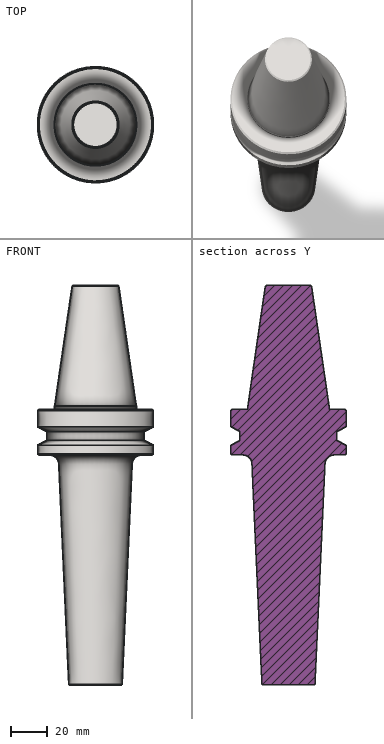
import cadquery as cq

total_length = 217.5
gauge_radius = 22.2
gauge_z = 152.0
shank_taper = 7 / 24
shank_chamfer = 0.7

neck_radius = 22.5
neck_z = 151.5

flange_radius = 31.5
flange_top_z = 150.0
flange_bottom_z = 125.0
flange_chamfer = 0.9
groove_radius = 26.5
groove_top_z = 137.8
groove_bottom_z = 133.0
groove_flank_height = 2.6

nose_root_radius = 20.0
nose_fillet = 4.8
nose_tip_radius = 14.5
nose_chamfer = 0.7

shank_top_radius = gauge_radius - (total_length - gauge_z) * shank_taper / 2
nose_root_z = flange_bottom_z - nose_fillet
flange_edge_radius = flange_radius - flange_chamfer


def turned_body():
    """Revolve the half profile, listed from the nose tip upward, about Z."""
    profile = (
        cq.Workplane("XZ")
        .moveTo(0, 0)
        .lineTo(nose_tip_radius - nose_chamfer, 0)
        .lineTo(nose_tip_radius, nose_chamfer)
        .lineTo(nose_root_radius, nose_root_z)
        .radiusArc((nose_root_radius + nose_fillet, flange_bottom_z), nose_fillet)
        .lineTo(flange_edge_radius, flange_bottom_z)
        .lineTo(flange_radius, flange_bottom_z + flange_chamfer)
        .lineTo(flange_radius, groove_bottom_z - groove_flank_height)
        .lineTo(groove_radius, groove_bottom_z)
        .lineTo(groove_radius, groove_top_z)
        .lineTo(flange_radius, groove_top_z + groove_flank_height)
        .lineTo(flange_radius, flange_top_z - flange_chamfer)
        .lineTo(flange_edge_radius, flange_top_z)
        .lineTo(neck_radius, flange_top_z)
        .lineTo(neck_radius, neck_z)
        .lineTo(gauge_radius, gauge_z)
        .lineTo(shank_top_radius + shank_chamfer * shank_taper / 2, total_length - shank_chamfer)
        .lineTo(shank_top_radius - shank_chamfer, total_length)
        .lineTo(0, total_length)
        .close()
    )
    return profile.revolve(360, (0, 0, 0), (0, 1, 0))


result = turned_body()